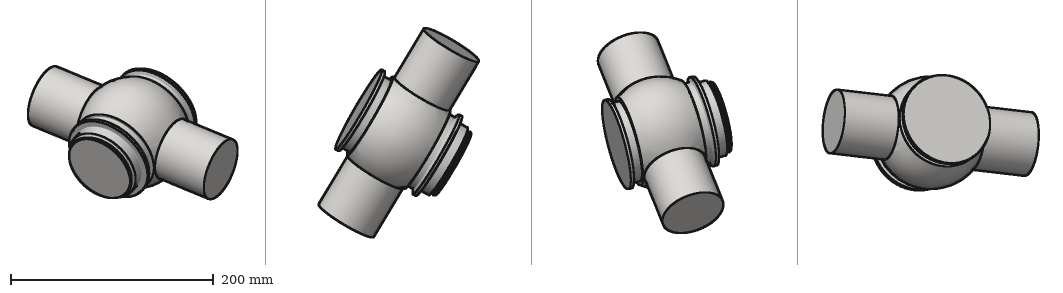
import cadquery as cq

PIPE_LENGTH = 204.0
PIPE_DIAMETER = 63.5
BALL_DIAMETER = 111.2
BALL_WIDTH_X = 91.0
BALL_WIDTH_Y = 65.7

NECK_DIAMETER = 82.0
FLANGE_DIAMETER = 91.0
FLANGE_FACE = 45.9
FLANGE_RIM_WIDTH = 3.5
FLANGE_TAPER_WIDTH = 2.0
NECK_FILLET = 0.8

PLUG_DIAMETER = 76.9
PLUG_END = 56.7
LIP_DIAMETER = 72.2
GROOVE_DIAMETER = 70.8
LIP_START = 59.1
LIP_WIDTH = 1.8
LIP_BEVEL = 1.2
PLUG_FACE = 62.2
PLUG_FILLET = 0.8
GROOVE_FILLET = 1.8

TOLERANCE = 0.02

rim_start = FLANGE_FACE - FLANGE_RIM_WIDTH
taper_start = rim_start - FLANGE_TAPER_WIDTH


def revolved_about_y(profile):
    """Solid of revolution about Y from (radius, distance) points, closed on the axis."""
    points = [(0, profile[0][1])] + profile + [(0, profile[-1][1])]
    return cq.Workplane("XY").polyline(points).close().revolve(360, (0, 0), (0, 1))


def ball_body():
    """Sphere cut flat on both X and both Y sides."""
    flats = cq.Workplane("XY").box(BALL_WIDTH_X, BALL_WIDTH_Y, BALL_DIAMETER)
    return cq.Workplane("XY").sphere(BALL_DIAMETER / 2).intersect(flats)


def cross_pipe():
    """Round pipe stub pair running through the ball along X."""
    return cq.Workplane("YZ").circle(PIPE_DIAMETER / 2).extrude(PIPE_LENGTH / 2, both=True)


def clamp_neck():
    """Neck and tapered flange reaching from the ball centre toward +Y."""
    return revolved_about_y([
        (NECK_DIAMETER / 2, 0),
        (NECK_DIAMETER / 2, taper_start),
        (FLANGE_DIAMETER / 2, rim_start),
        (FLANGE_DIAMETER / 2, FLANGE_FACE),
    ])


def plug():
    """Stepped plug with a groove and a bevelled lip, pointing toward -Y."""
    lip_end = LIP_START + LIP_WIDTH
    return revolved_about_y([
        (PLUG_DIAMETER / 2, 0),
        (PLUG_DIAMETER / 2, -PLUG_END),
        (GROOVE_DIAMETER / 2, -PLUG_END),
        (GROOVE_DIAMETER / 2, -LIP_START),
        (LIP_DIAMETER / 2, -LIP_START - LIP_BEVEL),
        (LIP_DIAMETER / 2, -lip_end),
        (GROOVE_DIAMETER / 2, -PLUG_FACE),
    ])


def fillet_ring(body, y, diameter, radius):
    """Round the circular edge of the given diameter, centred on the Y axis at y."""
    reach = diameter / 2 + TOLERANCE
    band = cq.selectors.BoxSelector(
        (-reach, y - TOLERANCE, -reach),
        (reach, y + TOLERANCE, reach),
        boundingbox=True,
    )
    rings = body.edges("%CIRCLE").edges(band)
    return rings.fillet(radius)


back_neck = clamp_neck()
front_neck = back_neck.mirror("XZ")
result = ball_body().union(cross_pipe()).union(back_neck).union(front_neck).union(plug())

for side in (-1, 1):
    result = fillet_ring(result, side * taper_start, NECK_DIAMETER, NECK_FILLET)

result = fillet_ring(result, -BALL_WIDTH_Y / 2, NECK_DIAMETER, NECK_FILLET)

result = fillet_ring(result, -FLANGE_FACE, PLUG_DIAMETER, PLUG_FILLET)
result = fillet_ring(result, -PLUG_END, GROOVE_DIAMETER, GROOVE_FILLET)